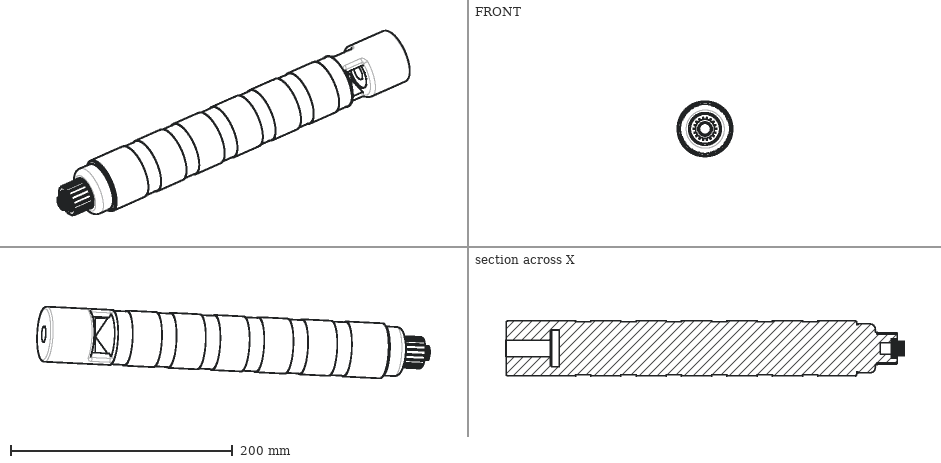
import math

import cadquery as cq

LENGTH = 359.0
BODY_RADIUS = 24.95

STUB_LENGTH = 6.0
STUB_TIP_RADIUS = 6.5
STUB_ROOT_RADIUS = 5.7
STUB_TEETH = 30
STUB_BORE_RADIUS = 5.0
STUB_BORE_DEPTH = 21.5
SPLINE_END = 26.0
SPLINE_TIP_RADIUS = 14.5
SPLINE_ROOT_RADIUS = 13.3
SPLINE_TEETH = 18
SPLINE_CHAMFER = 1.0
SOCKET_TIP_RADIUS = 10.5
SOCKET_ROOT_RADIUS = 8.5
SOCKET_DEPTH = 5.5
TOOTH_TIP_SHARE = 0.2
TOOTH_ROOT_SHARE = 0.25
COLLAR_RADIUS = 14.7
COLLAR_LENGTH = 1.5

NECK_RADIUS = 22.3
NECK_FILLET = 5.0
BODY_START = 42.7
BODY_CHAMFER = 1.0
NECK_GROOVE_WIDTH = 1.0
NECK_GROOVE_RADIUS = 21.5

BAND_COUNT = 6
BAND_START = 78.0
BAND_WIDTH = 13.5
BAND_PITCH = 41.0
BAND_DEPTH = 0.7

WINDOW_BOTTOM = 298.7
WINDOW_TOP = 317.7
WINDOW_FILLET = 3.2
STRUT_WIDTH = 18.5
WINDOW_CORNER_RADIUS = 1.0
STRUT_INNER = 16.5
CONE_RADIUS = 22.0
CONE_BASE = WINDOW_BOTTOM
CONE_SLOPE = 1.75
WEB_RIDGE_WIDTH = 1.5
WEB_BASE_WIDTH = 16.5
WEB_TOP = 311.0

HEAD_EDGE_FILLET = 1.8
RECESS_RADIUS = 15.0
RECESS_DEPTH = 1.0
INLET_RADIUS = 7.2


def cylinder(radius, start, end):
    """Solid cylinder on the Y axis from Y = start to Y = end."""
    return cq.Workplane("XZ", origin=(0, start, 0)).circle(radius).extrude(start - end)


def ring(outer, inner, start, end):
    """Tube on the Y axis."""
    return cylinder(outer, start, end).cut(cylinder(inner, start, end))


def toothed_bar(tip, root, teeth, start, end):
    """Straight-sided splined bar on the Y axis with a gap centred on +Z."""
    pitch = 2 * math.pi / teeth
    half_tip = pitch * TOOTH_TIP_SHARE / 2
    half_root = pitch * TOOTH_ROOT_SHARE / 2
    points = []
    for index in range(teeth):
        centre = math.pi / 2 + (index + 0.5) * pitch
        corners = (
            (root, -half_root),
            (tip, -half_tip),
            (tip, half_tip),
            (root, half_root),
        )
        for radius, offset in corners:
            angle = centre + offset
            points.append((radius * math.cos(angle), radius * math.sin(angle)))
    profile = cq.Workplane("XZ", origin=(0, start, 0)).polyline(points).close()
    return profile.extrude(start - end)


def drive_end():
    """Splined sleeve with a toothed socket around a fine-toothed, bored stub."""
    spline = toothed_bar(SPLINE_TIP_RADIUS, SPLINE_ROOT_RADIUS, SPLINE_TEETH, STUB_LENGTH, SPLINE_END)
    chamfered = cylinder(SPLINE_TIP_RADIUS, STUB_LENGTH, SPLINE_END).faces("<Y").chamfer(SPLINE_CHAMFER)
    spline = spline.intersect(chamfered)
    socket_end = STUB_LENGTH + SOCKET_DEPTH
    spline = spline.cut(
        toothed_bar(SOCKET_TIP_RADIUS, SOCKET_ROOT_RADIUS, SPLINE_TEETH, STUB_LENGTH, socket_end)
    )
    stub = toothed_bar(STUB_TIP_RADIUS, STUB_ROOT_RADIUS, STUB_TEETH, 0, socket_end)
    collar = cylinder(COLLAR_RADIUS, SPLINE_END - COLLAR_LENGTH, SPLINE_END)
    bore = cylinder(STUB_BORE_RADIUS, 0, STUB_BORE_DEPTH)
    return spline.union(stub).union(collar).cut(bore)


def neck():
    """Rounded neck with a narrow groove under the body."""
    solid = cylinder(NECK_RADIUS, SPLINE_END, BODY_START).faces("<Y").edges().fillet(NECK_FILLET)
    groove_start = BODY_START - NECK_GROOVE_WIDTH
    return solid.cut(ring(BODY_RADIUS, NECK_GROOVE_RADIUS, groove_start, BODY_START))


def body():
    """Body and head in one bar, before the window is opened."""
    bar = cylinder(BODY_RADIUS, BODY_START, LENGTH)
    bar = bar.faces("<Y").chamfer(BODY_CHAMFER)
    return bar.faces(">Y").edges().fillet(HEAD_EDGE_FILLET)


def open_window(bar):
    """Cut the window through X, leaving a strut at +Z and at -Z."""
    height = WINDOW_TOP - WINDOW_BOTTOM
    middle = (WINDOW_TOP + WINDOW_BOTTOM) / 2
    span = 2 * BODY_RADIUS
    for side in (-1, 1):
        opening = cq.Workplane("XY").box(span, height, span).edges("|Z").fillet(WINDOW_CORNER_RADIUS)
        bar = bar.cut(opening.translate((side * (STRUT_WIDTH + span) / 2, middle, 0)))

    margin = 0.5
    rim_box = cq.selectors.BoxSelector(
        (-span, WINDOW_BOTTOM - margin, -span),
        (span, WINDOW_TOP + margin, span),
        boundingbox=True,
    )
    bar = bar.edges(rim_box).edges("not |Z").fillet(WINDOW_FILLET)

    passage = cq.Workplane("XY").box(span, height, 2 * STRUT_INNER)
    return bar.cut(passage.translate((0, middle, 0)))


def diverter():
    """Cone aimed at the head inlet, crossed by a tapered web between the struts."""
    apex = CONE_BASE + CONE_RADIUS / CONE_SLOPE
    tip_radius = CONE_SLOPE * (apex - WEB_TOP)
    outline = [(0, CONE_BASE), (CONE_RADIUS, CONE_BASE), (tip_radius, WEB_TOP), (0, WEB_TOP)]
    cone = cq.Workplane("XY").polyline(outline).close().revolve(360, (0, 0, 0), (0, 1, 0))
    half_ridge = WEB_RIDGE_WIDTH / 2
    half_base = WEB_BASE_WIDTH / 2
    section = [
        (-half_base, WINDOW_BOTTOM),
        (half_base, WINDOW_BOTTOM),
        (half_ridge, WEB_TOP),
        (-half_ridge, WEB_TOP),
    ]
    web = cq.Workplane("XY").polyline(section).close().extrude(STRUT_INNER, both=True)
    return cone.union(web)


result = open_window(body()).union(diverter()).union(neck()).union(drive_end())

for band in range(BAND_COUNT):
    start = BAND_START + band * BAND_PITCH
    result = result.cut(ring(2 * BODY_RADIUS, BODY_RADIUS - BAND_DEPTH, start, start + BAND_WIDTH))

result = result.cut(cylinder(RECESS_RADIUS, WINDOW_TOP, WINDOW_TOP + RECESS_DEPTH))
result = result.cut(cylinder(INLET_RADIUS, WINDOW_TOP, LENGTH))